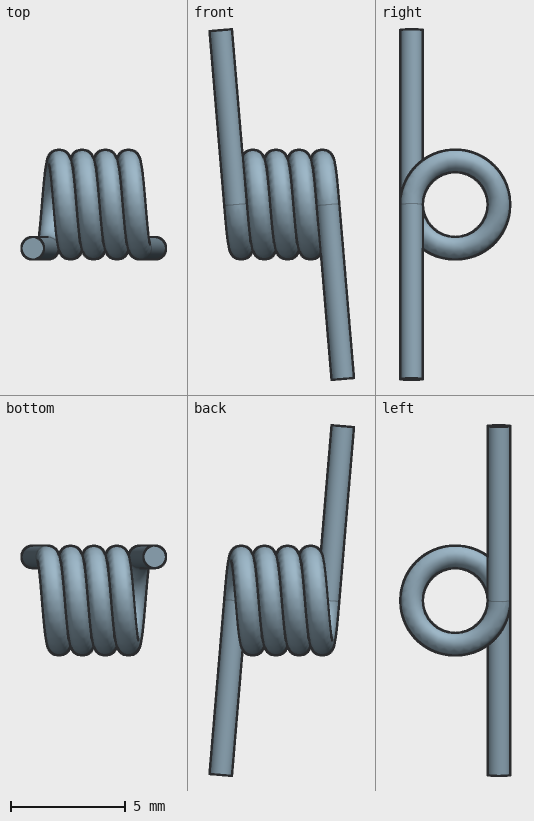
import cadquery as cq
import math

wire_diameter = 1.0
coil_outer_diameter = 4.8
turns = 4
pitch = 1.01
overall_height = 15.27

wire_radius = wire_diameter / 2
coil_radius = (coil_outer_diameter - wire_diameter) / 2
coil_length = turns * pitch
lead_angle = math.atan2(pitch, 2 * math.pi * coil_radius)
leg_rise = (overall_height - wire_diameter * math.sin(lead_angle)) / 2
leg_length = leg_rise / math.cos(lead_angle)

coil_start = cq.Vector(-coil_length / 2, -coil_radius, 0)
coil_end = cq.Vector(coil_length / 2, -coil_radius, 0)
wire_direction = cq.Vector(math.sin(lead_angle), 0, -math.cos(lead_angle))


def make_coil():
    """Sweep the round wire along a helix, then turn the helix axis onto X."""
    helix = cq.Wire.makeHelix(pitch, coil_length, coil_radius)
    section_plane = cq.Plane(
        origin=(coil_radius, 0, 0),
        xDir=(1, 0, 0),
        normal=(0, math.cos(lead_angle), math.sin(lead_angle)),
    )
    coil = cq.Workplane(section_plane).circle(wire_radius).sweep(helix, isFrenet=True)
    coil_plane = cq.Plane(origin=(-coil_length / 2, 0, 0), xDir=(0, -1, 0), normal=(1, 0, 0))
    return cq.Workplane(coil.val().moved(coil_plane.location))


def make_leg(start, direction):
    """Straight round leg continuing the wire tangentially from a coil end."""
    return cq.Workplane(cq.Solid.makeCylinder(wire_radius, leg_length, start, direction))


upper_leg = make_leg(coil_start, wire_direction * -1)
lower_leg = make_leg(coil_end, wire_direction)

result = make_coil().union(upper_leg).union(lower_leg)